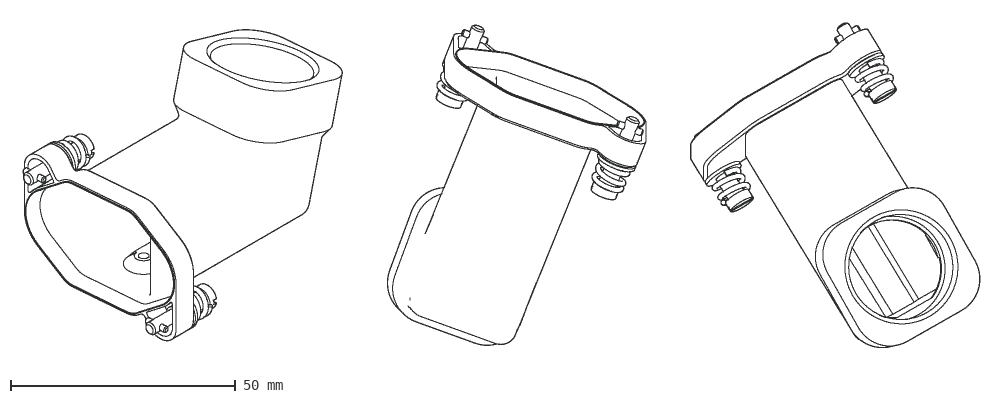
import cadquery as cq
import math


tube_size = 25.0
tube_corner = 3.5
neck_tilt = 15.0
collar_top_y = 53.51
collar_top_z = 24.42

collar_size = 30.2
collar_corner = 8.1
collar_height = 12.6
neck_overlap = 0.8
taper_root = 17.2
bore_radius = 11.7
bore_chamfer = 1.0
lip_top = 14.2
lip_bottom = 15.8
lip_overrun = 2.0
lip_hole_radius = 10.9
neck_cavity_half = 9.9
rear_foot_half = 9.4
neck_fillet = 1.0
seam_reach = 0.7

cavity_size = 21.8
cavity_corner = 1.8
cavity_draft = 0.5
cavity_reach = 70.0
mouth_fillet = 1.05
select_margin = 0.1

rib_front_y = 14.3
rib_base_half = 4.6
rib_top_half = 2.75
rib_cone_top = 2.1
rib_height = 2.1
rib_hole_radius = 1.2
rib_hole_depth = 3.0

flange_length = 45.88
flange_height = 27.8
flange_thickness = 6.35
flange_slope = 35.0
flange_end_radius = 9.25
flange_corner_radius = 5.8
flange_back_chamfer = 0.6
recess_depth = 4.0
rim_width = 0.62
recess_draft = 6.5
lip_inset = 0.45
lip_height = 0.2

ear_x = 18.48
ear_z = 11.83
ear_radius = flange_length / 2 - ear_x
ear_wall = 1.1
ear_notch_fillet = 1.0
pocket_corner = 0.4
pocket_depth = 5.6
pad_thickness = 0.75

shank_radius = 2.05
tip_radius = 1.5
tip_chamfer = 0.4
tip_y = -3.9
head_radius = 3.0
head_back_y = 14.95
head_length = 2.15
slot_width = 1.1
slot_depth = 0.9
key_radius = 0.75
key_length = 6.0
key_y = -1.5
key_chamfer = 0.25
wire_radius = 0.58
coil_radius = 3.27
coil_turns = 2.75
coil_closing = 0.6
coil_steps_per_turn = 12
spring_bite = 0.2

tube_half = tube_size / 2
tilt = math.radians(neck_tilt)


def neck_point(u, depth):
    """(y, z) of a point u toward the rear and depth below the collar top, in the tilted neck frame."""
    y = collar_top_y + u * math.cos(tilt) - depth * math.sin(tilt)
    z = collar_top_z - u * math.sin(tilt) - depth * math.cos(tilt)
    return y, z


def neck_plane(depth):
    """Plane across the neck, with x along X, y toward the rear and the normal pointing up the neck."""
    y, z = neck_point(0, depth)
    return cq.Plane(origin=(0, y, z), xDir=(1, 0, 0), normal=(0, math.sin(tilt), math.cos(tilt)))


def rounded_square(plane, size, corner):
    return cq.Workplane(plane).sketch().rect(size, size).vertices().fillet(corner).finalize()


def cross_plane(y):
    """Plane across the tube with x along X and y along Z; its normal points along -Y."""
    return cq.Plane(origin=(0, y, 0), xDir=(1, 0, 0), normal=(0, -1, 0))


def depth_where_meets(z, u):
    """Depth at which the neck line at u comes down to the height z."""
    return (collar_top_z - u * math.sin(tilt) - z) / math.cos(tilt)


taper_end = depth_where_meets(tube_half, -tube_half)



def flange_outline(inset):
    """Six-sided outline with round ends and round upper and lower corners, drawn in by inset."""
    slope = math.radians(flange_slope)
    end_r = flange_end_radius - inset
    corner_r = flange_corner_radius - inset
    end_x = flange_length / 2 - flange_end_radius
    half_height = flange_height / 2 - inset
    tangent_x = end_x + end_r * math.sin(slope)
    tangent_z = end_r * math.cos(slope)
    corner_x = tangent_x - (half_height - tangent_z) / math.tan(slope)
    setback = corner_r * math.tan(slope / 2)
    flat_x = corner_x - setback
    round_x = corner_x + setback * math.cos(slope)
    round_z = half_height - setback * math.sin(slope)
    corner_mid = (flat_x + corner_r * math.sin(slope / 2), half_height - corner_r * (1 - math.cos(slope / 2)))
    return (
        cq.Workplane(cross_plane(0))
        .moveTo(-flat_x, half_height)
        .lineTo(flat_x, half_height)
        .threePointArc(corner_mid, (round_x, round_z))
        .lineTo(tangent_x, tangent_z)
        .threePointArc((end_x + end_r, 0), (tangent_x, -tangent_z))
        .lineTo(round_x, -round_z)
        .threePointArc((corner_mid[0], -corner_mid[1]), (flat_x, -half_height))
        .lineTo(-flat_x, -half_height)
        .threePointArc((-corner_mid[0], -corner_mid[1]), (-round_x, -round_z))
        .lineTo(-tangent_x, -tangent_z)
        .threePointArc((-end_x - end_r, 0), (-tangent_x, tangent_z))
        .lineTo(-round_x, round_z)
        .threePointArc((-corner_mid[0], corner_mid[1]), (-flat_x, half_height))
        .close()
    )


def ear_outline(inset):
    """Upper left ear: a round end, a straight outer side and a side square to the flange slope."""
    slope = math.radians(flange_slope)
    radius = ear_radius - inset
    side_dir = (math.sin(slope), -math.cos(slope))
    tangent = (-ear_x + radius * math.cos(slope), ear_z + radius * math.sin(slope))
    side_length = ear_radius
    side_end = (tangent[0] + side_length * side_dir[0], tangent[1] + side_length * side_dir[1])
    middle = math.radians((180 + flange_slope) / 2)
    return (
        cq.Workplane(cross_plane(0))
        .moveTo(-ear_x - radius, 0)
        .lineTo(-ear_x - radius, ear_z)
        .threePointArc((-ear_x + radius * math.cos(middle), ear_z + radius * math.sin(middle)), tangent)
        .lineTo(*side_end)
        .lineTo(0, 0)
        .close()
    )


def both_ears(shape):
    """The shape at the upper left ear together with its half-turn copy at the lower right ear."""
    return shape, shape.rotate((0, 0, 0), (0, 1, 0), 180)


def notch_edges():
    """Selector of the two inner corners where an ear side meets the flange slope at a right angle."""
    slope = math.radians(flange_slope)
    along = -ear_x * math.cos(slope) + ear_z * math.sin(slope) + ear_radius
    across = (flange_length / 2 - flange_end_radius) * math.sin(slope) + flange_end_radius
    x = along * math.cos(slope) - across * math.sin(slope)
    z = along * math.sin(slope) + across * math.cos(slope)
    middle = flange_thickness / 2
    upper = cq.selectors.NearestToPointSelector((x, middle, z))
    lower = cq.selectors.NearestToPointSelector((-x, middle, -z))
    return cq.selectors.SumSelector(upper, lower)


def make_flange():
    flange = flange_outline(0).extrude(-flange_thickness)
    for ear in both_ears(ear_outline(0).extrude(-flange_thickness)):
        flange = flange.union(ear)
    flange = flange.edges("|Y").edges(notch_edges()).fillet(ear_notch_fillet)
    return flange.faces(">Y").edges().chamfer(flange_back_chamfer)



def make_elbow():
    rear_bottom = neck_point(tube_half, depth_where_meets(-tube_half, tube_half))
    rear_top = neck_point(tube_half, taper_end - neck_overlap)
    front_top = neck_point(-tube_half, depth_where_meets(tube_half, -tube_half))
    start_y = recess_depth
    elbow = (
        cq.Workplane("YZ", origin=(-tube_half, 0, 0))
        .polyline([(start_y, -tube_half), rear_bottom, rear_top, front_top, (start_y, tube_half)])
        .close()
        .extrude(tube_size)
    )
    long_edges = elbow.faces("<X or >X").edges("|Y")
    rear_edges = elbow.faces("<X or >X").edges(cq.selectors.ParallelDirSelector(
        cq.Vector(0, math.sin(tilt), math.cos(tilt))))
    corner_edge = elbow.edges(cq.selectors.NearestToPointSelector((0, *rear_bottom)))
    return long_edges.add(rear_edges).add(corner_edge).fillet(tube_corner)


def make_collar():
    """Collar on a taper that shrinks evenly to the tube's section and runs on into the tube."""
    collar = rounded_square(neck_plane(collar_height), collar_size, collar_corner).extrude(collar_height)
    run_on = (taper_root - collar_height) / (taper_end - collar_height)
    root_size = collar_size + run_on * (tube_size - collar_size)
    root_corner = collar_corner + run_on * (tube_corner - collar_corner)
    taper = (
        cq.Workplane(neck_plane(taper_root))
        .placeSketch(
            cq.Sketch().rect(root_size, root_size).vertices().fillet(root_corner),
            cq.Sketch().rect(collar_size, collar_size).vertices().fillet(collar_corner)
            .moved(cq.Location(cq.Vector(0, 0, taper_root - collar_height))),
        )
        .loft()
    )
    return collar.union(taper)


def make_body():
    """Elbow and collar in one piece, with a fillet all round where the taper runs into the elbow."""
    body = make_elbow().union(make_collar())
    middle = cq.Vector(0, *neck_point(0, taper_end))
    normal = neck_plane(taper_end).zDir
    seam = []
    for edge in body.edges().vals():
        drop = (middle - edge.Center()).dot(normal)
        if -seam_reach < drop < seam_reach:
            seam.append(edge)
    return body.newObject(seam).fillet(neck_fillet)


def make_rib():
    floor_z = -cavity_size / 2
    top_z = floor_z + rib_height
    cone = cq.Workplane(cq.Solid.makeCone(rib_base_half, rib_cone_top, rib_height,
                                          pnt=cq.Vector(0, rib_front_y, floor_z)))
    bar = (
        cq.Workplane(cross_plane(rib_front_y))
        .polyline([(-rib_base_half, floor_z), (rib_base_half, floor_z),
                   (rib_top_half, top_z), (-rib_top_half, top_z)])
        .close()
        .extrude(-cavity_reach)
    )
    hole = (
        cq.Workplane("XY", origin=(0, rib_front_y, top_z))
        .circle(rib_hole_radius)
        .extrude(-rib_hole_depth)
    )
    return cone.union(bar), hole


def cavity_profile(top_depth):
    """Block that ends the cavity at a depth of the neck above and at the drafted rear wall."""
    foot_depth = depth_where_meets(-tube_half, rear_foot_half)
    draft = (neck_cavity_half - rear_foot_half) / (foot_depth - lip_top)
    rear_top = neck_point(neck_cavity_half - draft * (top_depth - lip_top), top_depth)
    rear_foot = neck_point(rear_foot_half, foot_depth)
    lip_front = neck_point(-tube_half, top_depth)
    return (
        cq.Workplane("YZ", origin=(-tube_half, 0, 0))
        .polyline([rear_top, rear_foot, (recess_depth, -tube_half), (recess_depth, tube_half), lip_front])
        .close()
        .extrude(tube_size)
    )


def make_cavity():
    cavity = (
        rounded_square(cross_plane(recess_depth), cavity_size, cavity_corner)
        .extrude(-cavity_reach, taper=cavity_draft)
        .intersect(cavity_profile(lip_bottom))
    )
    rib, rib_hole = make_rib()
    return cavity.cut(rib).union(rib_hole)


def make_bore():
    bore = cq.Workplane(neck_plane(lip_top)).circle(bore_radius).extrude(lip_top)
    cone = cq.Solid.makeCone(bore_radius, bore_radius + bore_chamfer, bore_chamfer)
    entry = cq.Workplane(cone.moved(neck_plane(bore_chamfer).location))
    lip_hole = (
        cq.Workplane(neck_plane(lip_bottom + lip_overrun))
        .circle(lip_hole_radius)
        .extrude(lip_bottom + lip_overrun - lip_top)
        .intersect(cavity_profile(lip_top))
    )
    return bore.union(entry).union(lip_hole)


def make_housing():
    housing = make_flange().union(make_body())
    housing = housing.union(flange_outline(lip_inset).extrude(lip_height))
    pad = (
        cq.Workplane(cross_plane(flange_thickness))
        .center(-ear_x, ear_z)
        .circle(ear_radius)
        .extrude(-pad_thickness)
    )
    pocket = ear_outline(ear_wall).extrude(-pocket_depth).cut(flange_outline(0).extrude(-pocket_depth))
    pocket = pocket.edges("|Y").edges(">X or <Z").fillet(pocket_corner)
    pin_hole = (
        cq.Workplane(cross_plane(0))
        .center(-ear_x, ear_z)
        .circle(shank_radius)
        .extrude(-flange_thickness - pad_thickness)
    )
    for one in both_ears(pad):
        housing = housing.union(one)
    for one in both_ears(pocket.union(pin_hole)):
        housing = housing.cut(one)
    recess = flange_outline(rim_width).extrude(-recess_depth, taper=recess_draft)
    housing = housing.cut(recess).cut(flange_outline(rim_width).extrude(lip_height))
    housing = housing.cut(make_cavity())
    mouth_half = cavity_size / 2 + select_margin
    mouth_edges = cq.selectors.BoxSelector(
        (-mouth_half, recess_depth - select_margin, -mouth_half),
        (mouth_half, recess_depth + select_margin, mouth_half),
    )
    return housing.edges(mouth_edges).fillet(mouth_fillet).cut(make_bore())



def coil_point(share, top_y, drop):
    """Point of the left-hand coil at a share of its length; the pitch shrinks toward both ends."""
    angle = 2 * math.pi * coil_turns * share
    eased = share - coil_closing * math.sin(2 * math.pi * share) / (2 * math.pi)
    return coil_radius * math.cos(angle), top_y - drop * eased, -coil_radius * math.sin(angle)


def make_spring():
    """Spring between the ear pad and the pin head, which it bites into so that they are one piece."""
    top_y = head_back_y - head_length - wire_radius + spring_bite
    bottom_y = flange_thickness + pad_thickness + wire_radius
    steps = round(coil_turns * coil_steps_per_turn)
    points = [coil_point(i / steps, top_y, top_y - bottom_y) for i in range(steps + 1)]
    path = cq.Workplane("XY").spline(points)
    start = cq.Plane(origin=points[0], xDir=(1, 0, 0), normal=(0, 0, -1))
    return cq.Workplane(start).circle(wire_radius).sweep(path, isFrenet=True)


def make_lock_pin():
    shank = cq.Workplane(cross_plane(head_back_y)).circle(shank_radius).extrude(head_back_y - recess_depth)
    tip = (
        cq.Workplane(cross_plane(recess_depth))
        .circle(tip_radius)
        .extrude(recess_depth - tip_y)
        .faces("<Y")
        .chamfer(tip_chamfer)
    )
    head = (
        cq.Workplane(cross_plane(head_back_y))
        .circle(head_radius)
        .extrude(head_length)
    )
    slot = cq.Workplane(cross_plane(head_back_y)).rect(2 * head_radius, slot_width).extrude(slot_depth)
    key = (
        cq.Workplane("YZ", origin=(-key_length / 2, key_y, 0))
        .circle(key_radius)
        .extrude(key_length)
        .faces("<X or >X")
        .chamfer(key_chamfer)
    )
    return shank.union(tip).union(head).cut(slot).union(key).union(make_spring())


housing = make_housing()
lock_pins = []
for side in (-1, 1):
    lock_pins.append(make_lock_pin().translate((side * ear_x, 0, -side * ear_z)))

result = cq.Compound.makeCompound([housing.val(), *[pin.val() for pin in lock_pins]])